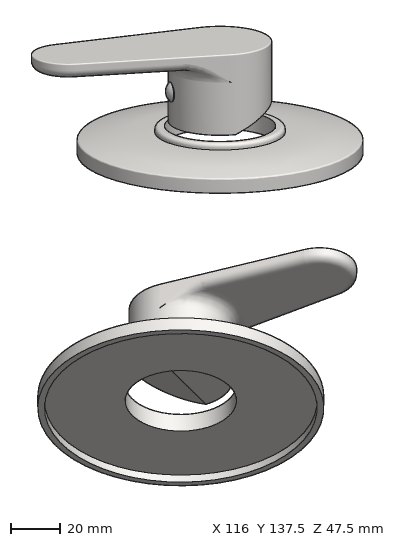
import cadquery as cq
import math

PLATE_RADIUS = 58.0
PLATE_RIM_HEIGHT = 6.0
PLATE_RIM_FILLET = 0.8
COLLAR_RADIUS = 26.5
COLLAR_BASE_Z = 9.1
COLLAR_TOP_Z = 11.5
COLLAR_FILLET = 1.6
PLATE_BORE_RADIUS = 22.5
RECESS_DEPTH = 3.5
PLATE_RIM_WALL = 2.7

HUB_RADIUS = 21.0
HUB_BOTTOM_Z = 13.6
HANDLE_TOP_Z = 47.5
HUB_BACK_Z = 23.1

LEVER_TIP_RADIUS = 15.1
LEVER_REACH = 79.5
LEVER_THICKNESS = 6.2
LEVER_BOTTOM_FILLET = 3.3
LEVER_ROOT_FILLET = 5.5
TOP_EDGE_FILLET = 0.5
LEVER_BOTTOM_Z = HANDLE_TOP_Z - LEVER_THICKNESS
LEVER_ROOT_Z = LEVER_BOTTOM_Z - LEVER_ROOT_FILLET
LEVER_TIP_Y = LEVER_TIP_RADIUS - LEVER_REACH

BUTTON_RADIUS = 4.1
BUTTON_HEIGHT = 1.9
BUTTON_Z = 27.6

EDGE_TOLERANCE = 0.01


def circle_at(radius, z):
    """Selector for the full circular edge of the given radius around Z at height z."""
    outer = cq.selectors.BoxSelector(
        (-radius - EDGE_TOLERANCE, -radius - EDGE_TOLERANCE, z - EDGE_TOLERANCE),
        (radius + EDGE_TOLERANCE, radius + EDGE_TOLERANCE, z + EDGE_TOLERANCE),
        boundingbox=True,
    )
    inner_radius = radius - 2 * EDGE_TOLERANCE
    inner = cq.selectors.BoxSelector(
        (-inner_radius, -inner_radius, z - EDGE_TOLERANCE),
        (inner_radius, inner_radius, z + EDGE_TOLERANCE),
        boundingbox=True,
    )
    return outer - inner


def make_plate():
    """Revolve the plate: recessed underside, rim, and crowned top levelling out at the collar."""
    crown_run = PLATE_RADIUS - COLLAR_RADIUS
    crown_drop = COLLAR_BASE_Z - PLATE_RIM_HEIGHT
    crown_radius = (crown_run**2 + crown_drop**2) / (2 * crown_drop)
    middle_r = COLLAR_RADIUS + crown_run / 2
    middle_z = COLLAR_BASE_Z - crown_radius + math.sqrt(crown_radius**2 - (crown_run / 2) ** 2)
    recess_radius = PLATE_RADIUS - PLATE_RIM_WALL
    plate = (
        cq.Workplane("XZ")
        .moveTo(PLATE_BORE_RADIUS, RECESS_DEPTH)
        .lineTo(recess_radius, RECESS_DEPTH)
        .lineTo(recess_radius, 0)
        .lineTo(PLATE_RADIUS, 0)
        .lineTo(PLATE_RADIUS, PLATE_RIM_HEIGHT)
        .threePointArc((middle_r, middle_z), (COLLAR_RADIUS, COLLAR_BASE_Z))
        .lineTo(COLLAR_RADIUS, COLLAR_TOP_Z)
        .lineTo(PLATE_BORE_RADIUS, COLLAR_TOP_Z)
        .close()
        .revolve(360, (0, 0, 0), (0, 1, 0))
    )
    plate = plate.edges(circle_at(COLLAR_RADIUS, COLLAR_TOP_Z)).fillet(COLLAR_FILLET)
    return plate.edges(circle_at(PLATE_RADIUS, PLATE_RIM_HEIGHT)).fillet(PLATE_RIM_FILLET)


def lever_outline(bottom_z):
    """Outline of the hub circle and the tip circle joined by their common tangents."""
    taper = math.asin((HUB_RADIUS - LEVER_TIP_RADIUS) / -LEVER_TIP_Y)
    side_x = math.cos(taper)
    side_y = -math.sin(taper)
    hub_x, hub_y = HUB_RADIUS * side_x, HUB_RADIUS * side_y
    tip_x = LEVER_TIP_RADIUS * side_x
    tip_y = LEVER_TIP_Y + LEVER_TIP_RADIUS * side_y
    return (
        cq.Workplane("XY", origin=(0, 0, bottom_z))
        .moveTo(hub_x, hub_y)
        .threePointArc((0, HUB_RADIUS), (-hub_x, hub_y))
        .lineTo(-tip_x, tip_y)
        .threePointArc((0, -LEVER_REACH), (tip_x, tip_y))
        .close()
    )


def make_flared_core():
    """Revolve the hub cylinder with a cove that flares out into the lever underside."""
    cove_outer = HUB_RADIUS + LEVER_ROOT_FILLET
    cove_diagonal = LEVER_ROOT_FILLET * math.sqrt(0.5)
    flare_radius = 2 * LEVER_REACH
    return (
        cq.Workplane("XZ")
        .moveTo(0, LEVER_ROOT_Z)
        .lineTo(HUB_RADIUS, LEVER_ROOT_Z)
        .threePointArc(
            (cove_outer - cove_diagonal, LEVER_ROOT_Z + cove_diagonal),
            (cove_outer, LEVER_BOTTOM_Z),
        )
        .lineTo(flare_radius, LEVER_BOTTOM_Z)
        .lineTo(flare_radius, HANDLE_TOP_Z)
        .lineTo(0, HANDLE_TOP_Z)
        .close()
        .revolve(360, (0, 0, 0), (0, 1, 0))
    )


def make_lever():
    """Tapered lever with its root cove, rounded underside edges and softened top edge."""
    lever = lever_outline(LEVER_ROOT_Z).extrude(HANDLE_TOP_Z - LEVER_ROOT_Z)
    lever = lever.intersect(make_flared_core())
    tip_underside = cq.selectors.BoxSelector(
        (-LEVER_TIP_RADIUS, -LEVER_REACH, LEVER_BOTTOM_Z - EDGE_TOLERANCE),
        (LEVER_TIP_RADIUS, LEVER_TIP_Y, LEVER_BOTTOM_Z + EDGE_TOLERANCE),
    )
    lever = lever.edges(tip_underside).fillet(LEVER_BOTTOM_FILLET)
    return lever.faces(">Z").edges().fillet(TOP_EDGE_FILLET)


def make_hub():
    """Lower hub cylinder, its underside rising from the axis toward the back."""
    hub = (
        cq.Workplane("XY", origin=(0, 0, HUB_BOTTOM_Z))
        .circle(HUB_RADIUS)
        .extrude(LEVER_ROOT_Z - HUB_BOTTOM_Z)
    )
    back_wedge = (
        cq.Workplane("YZ")
        .moveTo(0, HUB_BOTTOM_Z)
        .lineTo(HUB_RADIUS, HUB_BOTTOM_Z)
        .lineTo(HUB_RADIUS, HUB_BACK_Z)
        .close()
        .extrude(HUB_RADIUS, both=True)
    )
    return hub.cut(back_wedge)


def make_button():
    """Round stem ending flush with the front of the hub, capped by a shallow spherical dome."""
    dome_radius = (BUTTON_RADIUS**2 + BUTTON_HEIGHT**2) / (2 * BUTTON_HEIGHT)
    middle_height = math.sqrt(dome_radius**2 - (BUTTON_RADIUS / 2) ** 2) - dome_radius + BUTTON_HEIGHT
    return (
        cq.Workplane("YZ", origin=(0, -HUB_RADIUS, BUTTON_Z))
        .moveTo(HUB_RADIUS, 0)
        .lineTo(HUB_RADIUS, BUTTON_RADIUS)
        .lineTo(0, BUTTON_RADIUS)
        .threePointArc((-middle_height, BUTTON_RADIUS / 2), (-BUTTON_HEIGHT, 0))
        .close()
        .revolve(360, (0, 0, 0), (1, 0, 0))
    )


plate = make_plate()
handle = make_hub().union(make_lever()).union(make_button())

result = cq.Compound.makeCompound([plate.val(), handle.solids().val()])